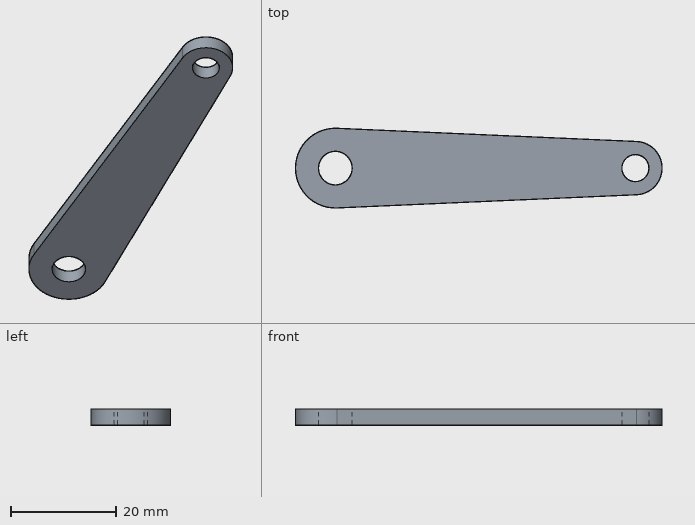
import cadquery as cq
import math

length = 69.85
thickness = 3.15
large_end_radius = 7.6
small_end_radius = 5.1
large_hole_diameter = 6.35
small_hole_diameter = 5.1

hole_spacing = length - large_end_radius - small_end_radius

tangent_angle = math.acos((large_end_radius - small_end_radius) / hole_spacing)


def tangent_point(center_x, radius, side):
    """Point where a straight side meets an end arc; side is +1 or -1 in Y."""
    return (
        center_x + radius * math.cos(tangent_angle),
        side * radius * math.sin(tangent_angle),
    )


def link_plate():
    """Tapered plate with rounded ends concentric with the holes."""
    return (
        cq.Workplane("XY")
        .moveTo(*tangent_point(0, large_end_radius, 1))
        .threePointArc((-large_end_radius, 0), tangent_point(0, large_end_radius, -1))
        .lineTo(*tangent_point(hole_spacing, small_end_radius, -1))
        .threePointArc(
            (hole_spacing + small_end_radius, 0),
            tangent_point(hole_spacing, small_end_radius, 1),
        )
        .close()
        .extrude(thickness)
    )


def pivot_hole(center_x, diameter):
    """Cutter for a round hole through the full thickness."""
    return cq.Workplane("XY").center(center_x, 0).circle(diameter / 2).extrude(thickness)


result = (
    link_plate()
    .cut(pivot_hole(0, large_hole_diameter))
    .cut(pivot_hole(hole_spacing, small_hole_diameter))
)